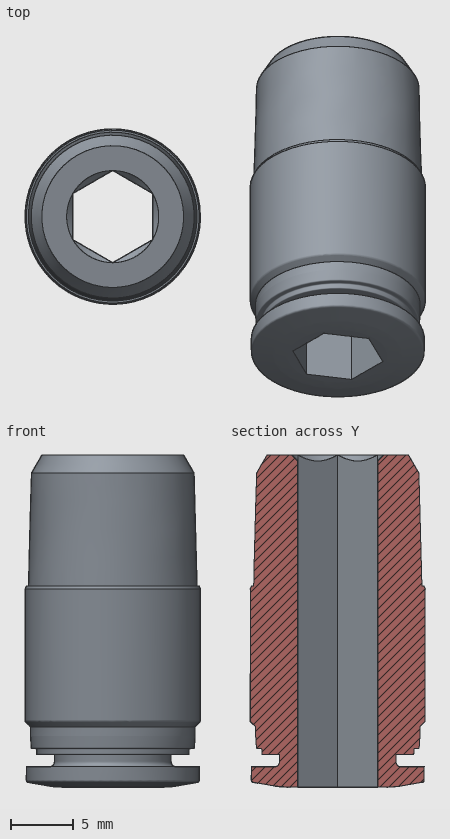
import cadquery as cq
import math

height = 26.5
collar_radius = 14.0 / 2

flange_radius = 13.8 / 2
flange_top = 1.65
flange_edge_fillet = 0.19
underside_angle = 10.0
underside_flat_radius = 4.55
underside_blend_inner_radius = 7.95 / 2
underside_blend_radius = (underside_flat_radius - underside_blend_inner_radius) / math.tan(
    math.radians(underside_angle / 2)
)
underside_rise = (flange_radius - underside_flat_radius) * math.tan(math.radians(underside_angle))

neck_radius = 9.33 / 2
neck_top = 2.6
neck_fillet = 0.4

step_fillet = 0.08
step_radius = 12.0 / 2 + step_fillet
step_top = 3.07
lower_body_fillet = 0.1
lower_body_radius = 13.0 / 2
band_radius = 6.57
band_bottom = 4.05
band_top = 4.82

collar_bottom = band_top + collar_radius - band_radius
collar_top = 16.05
collar_fillet = 0.2
collar_chamfer = 0.25
collar_chamfer_width = 0.1

nose_base_radius = 6.73
nose_tip_radius = 6.5
nose_chamfer_angle = 30.0
nose_chamfer_height = 1.45
nose_face_radius = nose_tip_radius - nose_chamfer_height * math.tan(math.radians(nose_chamfer_angle))

selection_margin = 0.03

hex_flats = 6.35
hex_corners = hex_flats / math.cos(math.radians(30))
countersink_radius = hex_corners / 2


def make_body():
    """Revolve the outer half profile (radius, Z) about the Z axis."""
    fillet_center = (neck_radius + neck_fillet, flange_top + neck_fillet)
    fillet_mid_offset = neck_fillet * math.sqrt(0.5)
    fillet_middle = (fillet_center[0] - fillet_mid_offset, fillet_center[1] - fillet_mid_offset)
    profile = (
        cq.Workplane("XZ")
        .moveTo(0, 0)
        .lineTo(underside_flat_radius, 0)
        .lineTo(flange_radius, underside_rise)
        .lineTo(flange_radius, flange_top)
        .lineTo(fillet_center[0], flange_top)
        .threePointArc(fillet_middle, (neck_radius, fillet_center[1]))
        .lineTo(neck_radius, neck_top)
        .lineTo(step_radius, neck_top)
        .lineTo(step_radius, step_top)
        .lineTo(lower_body_radius, step_top)
        .lineTo(band_radius, band_bottom)
        .lineTo(band_radius, band_top)
        .lineTo(collar_radius, collar_bottom)
        .lineTo(collar_radius, collar_top - collar_chamfer)
        .lineTo(collar_radius - collar_chamfer_width, collar_top)
        .lineTo(nose_base_radius, collar_top)
        .lineTo(nose_tip_radius, height - nose_chamfer_height)
        .lineTo(nose_face_radius, height)
        .lineTo(0, height)
        .close()
    )
    return profile.revolve(360, (0, 0, 0), (0, 1, 0))


def round_edge(body, edge_radius, z, fillet_radius):
    """Fillet the circular edge of the given radius, centered on the Z axis at height z."""
    outer = edge_radius + selection_margin
    edge_box = cq.selectors.BoxSelector(
        (-outer, -outer, z - selection_margin),
        (outer, outer, z + selection_margin),
        boundingbox=True,
    )
    return body.edges(edge_box).edges(cq.selectors.RadiusNthSelector(-1)).fillet(fillet_radius)


def round_outer_edges(body):
    body = round_edge(body, underside_flat_radius, 0, underside_blend_radius)
    body = round_edge(body, flange_radius, underside_rise, flange_edge_fillet)
    body = round_edge(body, step_radius, neck_top, step_fillet)
    body = round_edge(body, step_radius, step_top, step_fillet)
    body = round_edge(body, lower_body_radius, step_top, lower_body_fillet)
    return round_edge(body, collar_radius, collar_bottom, collar_fillet)


def make_hex_hole():
    return cq.Workplane("XY").polygon(6, hex_corners).extrude(height).rotate((0, 0, 0), (0, 0, 1), 30)


def make_countersink():
    """45 degree cone that rounds the mouth of the hexagon."""
    apex = cq.Vector(0, 0, height - countersink_radius)
    cone = cq.Solid.makeCone(0, countersink_radius, countersink_radius, apex)
    return cq.Workplane(obj=cone)


result = round_outer_edges(make_body()).cut(make_hex_hole()).cut(make_countersink())